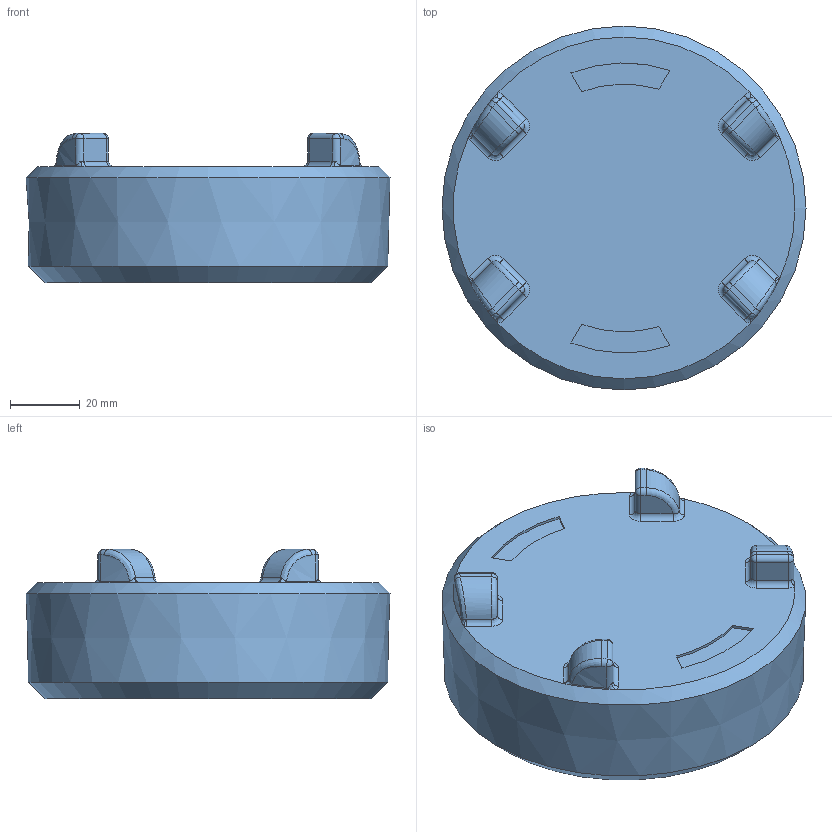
import cadquery as cq
import math

body_height = 33.275
rim_radius = 52.19
draft_angle = 1.5
top_bevel = 3.175
bottom_bevel = 4.7625
top_face_radius = rim_radius - top_bevel
wall_height = body_height - top_bevel - bottom_bevel
lower_rim_radius = rim_radius - wall_height * math.tan(math.radians(draft_angle))

lug_height = 9.525
lug_turn = 45.0
lug_side_offset = 3.175
lug_flat_width = 3.175
lug_round_radius = lug_height
lug_inner_distance = 36.3
lug_rim_gap = 0.05
lug_outer_radius = top_face_radius - lug_rim_gap
lug_fillet = 1.5875
lug_round_start = lug_side_offset + lug_flat_width
lug_round_end = lug_round_start + lug_round_radius

plate_inner_radius = 35.5
plate_outer_radius = 41.6
plate_center_x = -1.25
plate_half_width = 12.5
plate_width_level = 36.2
plate_side_angle = 30.0
plate_depth = 0.8


def make_body():
    profile = (
        cq.Workplane("XZ")
        .moveTo(0, 0)
        .lineTo(lower_rim_radius - bottom_bevel, 0)
        .lineTo(lower_rim_radius, bottom_bevel)
        .lineTo(rim_radius, body_height - top_bevel)
        .lineTo(top_face_radius, body_height)
        .lineTo(0, body_height)
        .close()
    )
    return profile.revolve(360, (0, 0, 0), (0, 1, 0))


def make_lug():
    """Lug beside the +X axis: straight side toward +Y, rounded back falling away toward -Y."""
    arc_middle = lug_round_radius * math.sqrt(0.5)
    block = (
        cq.Workplane("YZ", origin=(lug_inner_distance, 0, 0))
        .moveTo(-lug_side_offset, 0)
        .lineTo(-lug_side_offset, lug_height)
        .lineTo(-lug_round_start, lug_height)
        .threePointArc((-lug_round_start - arc_middle, arc_middle), (-lug_round_end, 0))
        .close()
        .extrude(top_face_radius - lug_inner_distance)
    )
    outer_limit = cq.Workplane("XY").circle(lug_outer_radius).extrude(lug_height)
    return block.intersect(outer_limit).edges("not <Z").fillet(lug_fillet)


def in_all_quarters(shape):
    """Turn a shape onto the diagonal, lift it to the top face and mirror it into all quarters."""
    placed = shape.rotate((0, 0, 0), (0, 0, 1), lug_turn).translate((0, 0, body_height))
    pair = placed.union(placed.mirror("YZ"))
    return pair.union(pair.mirror("XZ"))


def lug_foot_edges(part):
    """Edges of the top face that outline the lugs, without the face's own rim."""
    top_face = part.faces(cq.selectors.NearestToPointSelector((0, 0, body_height)))
    return [edge for wire in top_face.val().innerWires() for edge in wire.Edges()]


def make_plate_recess():
    """Arched pocket on the +Y side of the top face, with slanted end walls."""
    ring = (
        cq.Workplane("XY")
        .circle(plate_outer_radius)
        .circle(plate_inner_radius)
        .extrude(-plate_depth)
    )
    side_slope = math.tan(math.radians(plate_side_angle))
    apex_y = plate_width_level - plate_half_width / side_slope
    spread = (plate_outer_radius - apex_y) * side_slope
    wedge = (
        cq.Workplane("XY")
        .moveTo(plate_center_x, apex_y)
        .lineTo(plate_center_x + spread, plate_outer_radius)
        .lineTo(plate_center_x - spread, plate_outer_radius)
        .close()
        .extrude(-plate_depth)
    )
    return ring.intersect(wedge).translate((0, 0, body_height))


part = make_body().union(in_all_quarters(make_lug()))
part = part.newObject(lug_foot_edges(part)).fillet(lug_fillet)
recess = make_plate_recess()
result = part.cut(recess).cut(recess.mirror("XZ"))